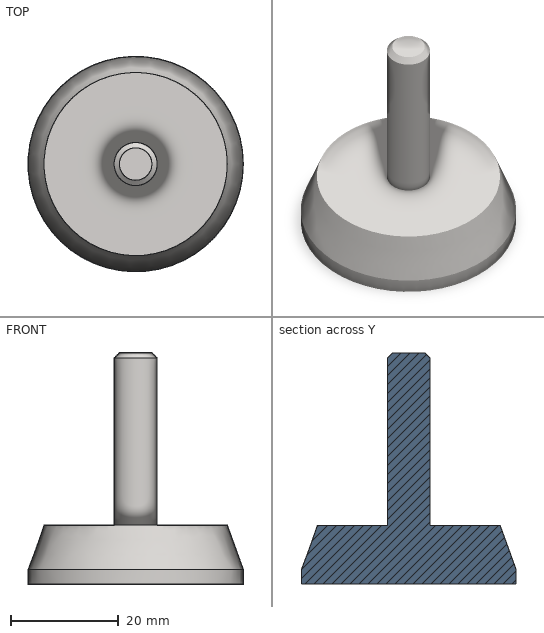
import cadquery as cq

total_height = 43.0
base_diameter = 40.0
base_top_diameter = 34.0
base_height = 11.0
rim_height = 2.75
stud_diameter = 8.0
stud_chamfer = 1.0

base_radius = base_diameter / 2
base_top_radius = base_top_diameter / 2
stud_radius = stud_diameter / 2

half_section = (
    cq.Workplane("XZ")
    .moveTo(0, 0)
    .lineTo(base_radius, 0)
    .lineTo(base_radius, rim_height)
    .lineTo(base_top_radius, base_height)
    .lineTo(stud_radius, base_height)
    .lineTo(stud_radius, total_height - stud_chamfer)
    .lineTo(stud_radius - stud_chamfer, total_height)
    .lineTo(0, total_height)
    .close()
)

result = half_section.revolve(360, (0, 0, 0), (0, 1, 0))